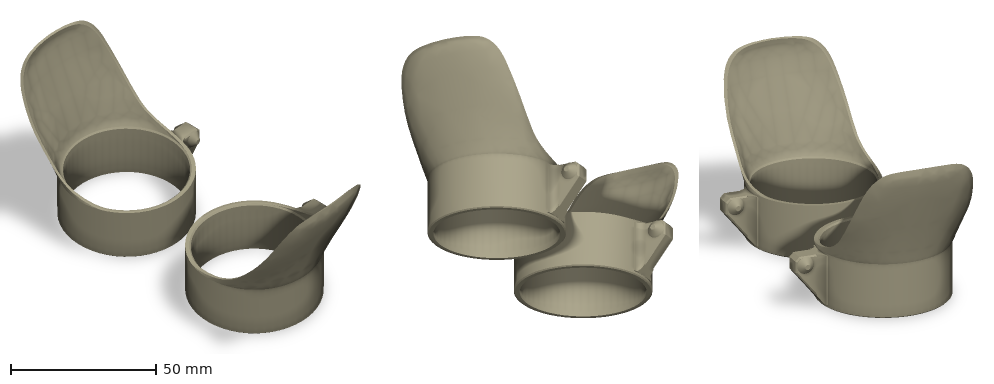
import cadquery as cq

overall_length = 134.0
outer_diameter = 47.7
bore_diameter = 43.7
outer_radius = outer_diameter / 2
bore_radius = bore_diameter / 2
ring_height = 20.0
overall_height = 59.2
cup_gap = 12.3
cup_center_x = cup_gap / 2 + outer_radius
bottom_chamfer = 0.4
bore_chamfer = 0.5

widest_reach = overall_length / 2 - cup_center_x
tip_reach = 36.4
hood_sections = [
    (ring_height, outer_radius, outer_radius, outer_radius),
    (22.8, 24.8, 20.5, 23.7),
    (29.5, 27.0, 14.7, 23.5),
    (37.5, 30.3, 10.2, 23.3),
    (45.5, 33.6, 8.8, 23.0),
    (50.9, 35.8, 9.1, 22.8),
    (56.9, widest_reach, 10.7, 22.8),
    (overall_height, tip_reach, 11.4, 22.8),
]
hood_base_wall = outer_radius - bore_radius - bore_chamfer
hood_wall = 1.0

rim_points = [
    (10.7, ring_height),
    (3.2, 20.6),
    (-6.3, 22.8),
    (-10.7, 24.9),
    (-17.5, 31.1),
    (-24.1, 39.4),
    (-30.1, 49.4),
    (-34.0, 57.0),
    (-tip_reach, overall_height),
]
rim_start_direction = (-1, 0)
rim_end_direction = (-1, 0.3)

lug_width = 6.2
lug_end_y = 34.0
lug_top_z = 19.3
lug_end_chamfer = 1.5
lug_nose_z = 13.5
lug_foot_z = 1.2
lug_edge_chamfer = 0.5
lug_root_radius = 2.5
lug_root_y = 26.1
boss_y = 30.4
boss_z = 16.1
boss_base_radius = 3.1
boss_tip_radius = 1.0
boss_height = 2.1


def hood_section(height, reach, depth, half_width, wall):
    """Closed section of two half ellipses, inset by the wall thickness."""
    middle_x = depth - reach
    depth_in = depth - wall
    front_depth = outer_radius - middle_x - wall
    half_in = half_width - wall
    return (
        cq.Workplane("XY", origin=(middle_x, 0, height))
        .moveTo(0, half_in)
        .ellipseArc(depth_in, half_in, 90, 270, startAtCurrent=True)
        .ellipseArc(front_depth, half_in, 270, 90, startAtCurrent=True)
        .close()
        .wire()
        .val()
    )


def hood_loft(base_wall, upper_wall):
    wires = []
    for section in hood_sections:
        wall = base_wall if section[0] == ring_height else upper_wall
        wires.append(hood_section(*section, wall))
    return cq.Workplane(cq.Solid.makeLoft(wires))


def make_hood():
    shell = hood_loft(0, 0).cut(hood_loft(hood_base_wall, hood_wall))
    below_rim = (
        cq.Workplane("XZ", origin=(0, outer_diameter, 0))
        .moveTo(*rim_points[0])
        .spline(rim_points[1:], tangents=[rim_start_direction, rim_end_direction], includeCurrent=True)
        .lineTo(-overall_length, overall_height)
        .lineTo(-overall_length, ring_height)
        .close()
        .extrude(2 * outer_diameter)
    )
    return shell.intersect(below_rim)


def make_ring():
    return (
        cq.Workplane("XY")
        .circle(outer_radius)
        .extrude(ring_height)
        .faces("<Z")
        .edges()
        .chamfer(bottom_chamfer)
    )


def make_bore():
    """Through bore that opens out at the top of the ring with a chamfer."""
    return (
        cq.Workplane("XZ")
        .lineTo(bore_radius, 0)
        .lineTo(bore_radius, ring_height - bore_chamfer)
        .lineTo(bore_radius + bore_chamfer, ring_height)
        .lineTo(0, ring_height)
        .close()
        .revolve(360, (0, 0, 0), (0, 1, 0))
    )


def make_lug():
    half_width = lug_width / 2
    flare = half_width + lug_root_radius
    root_end_y = lug_root_y - lug_root_radius
    wide_lug = (
        cq.Workplane("YZ", origin=(-flare, 0, 0))
        .moveTo(0, lug_top_z)
        .lineTo(lug_end_y - lug_end_chamfer, lug_top_z)
        .lineTo(lug_end_y, lug_top_z - lug_end_chamfer)
        .lineTo(lug_end_y, lug_nose_z)
        .lineTo(outer_radius, lug_foot_z)
        .lineTo(0, lug_foot_z)
        .close()
        .extrude(2 * flare)
    )
    bar = (
        cq.Workplane("XY")
        .box(lug_width, 2 * lug_end_y, 2 * ring_height)
        .intersect(wide_lug)
        .faces("<X or >X")
        .edges()
        .chamfer(lug_edge_chamfer)
    )
    root_plan = (
        cq.Workplane("XY")
        .moveTo(-half_width, lug_root_y)
        .lineTo(half_width, lug_root_y)
        .radiusArc((flare, root_end_y), -lug_root_radius)
        .lineTo(flare, 0)
        .lineTo(-flare, 0)
        .lineTo(-flare, root_end_y)
        .radiusArc((-half_width, lug_root_y), -lug_root_radius)
        .close()
        .extrude(ring_height)
    )
    lug = bar.union(root_plan.intersect(wide_lug))
    for side in (-1, 1):
        boss = cq.Solid.makeCone(
            boss_base_radius,
            boss_tip_radius,
            boss_height,
            pnt=cq.Vector(side * half_width, boss_y, boss_z),
            dir=cq.Vector(side, 0, 0),
        )
        lug = lug.union(cq.Workplane(boss))
    return lug


def make_eye_cup():
    cup = make_ring().union(make_lug()).cut(make_bore()).union(make_hood())
    return cup.translate((-cup_center_x, 0, 0))


left_cup = make_eye_cup()
right_cup = left_cup.mirror("YZ")

result = cq.Compound.makeCompound([left_cup.val(), right_cup.val()])